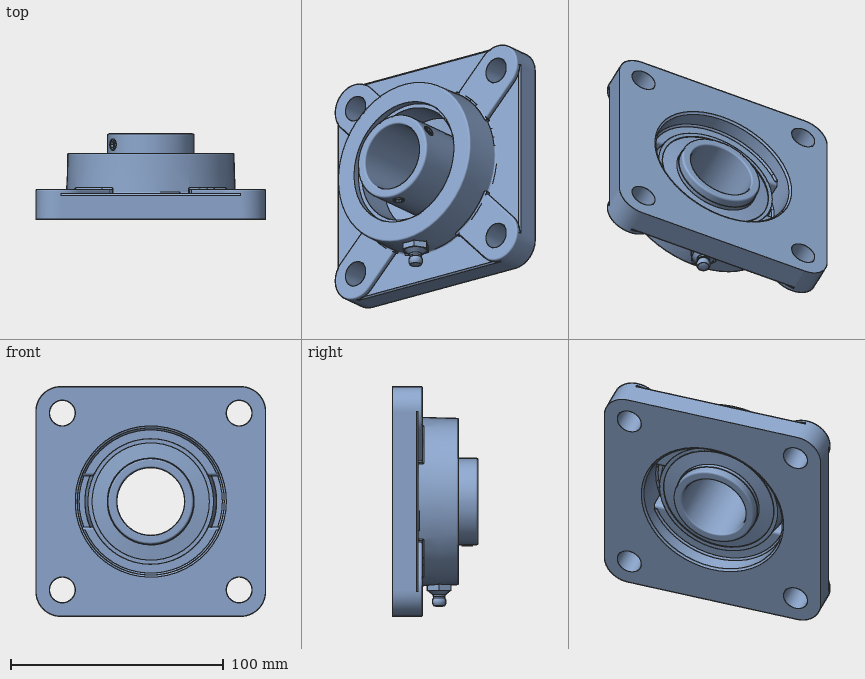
import cadquery as cq
import math


flange_size = 108.0
corner_radius = 11.8
plate_thickness = 12.0
pad_thickness = 14.0
edge_round = 0.8
bolt_spacing = 83.0
bolt_hole_diameter = 12.0

hub_back = 31.0
hub_back_radius = 39.1
hub_base_radius = 39.6
hub_root = 6.5

recess_mouth_round = 1.0
recess_radius = 34.6
recess_floor_radius = 67.3 / 2
recess_corner_round = recess_radius - recess_floor_radius
slot_half_width = 12.0
slot_mouth_round = 1.5

ball_centre = 18.0
seat_sphere_radius = 31.0
outer_ring_width = 19.0
outer_ring_bore_radius = 55.1 / 2
bore_radius = 31.8 / 2
bore_round = 0.8
inner_ring_radius = 40.8 / 2
inner_ring_nose_radius = 40.3 / 2
inner_ring_front = 2.0
inner_ring_back = 40.2
inner_ring_nose_end = 6.2
inner_ring_round = 1.0
seal_lip_front = 8.1
seal_rim_front = 9.1
seal_thickness = 1.1

screw_angles = (150, 270)
screw_y = 35.1
screw_diameter = 5.4
screw_inner_end = 16.4
screw_outer_end = 21.0
screw_chamfer = 0.4
screw_socket_flats = 2.8
screw_socket_depth = 2.2

nipple_y = 21.9
nipple_seat = 37.8
nipple_hex_end = 41.9
nipple_hex_flats = 11.2
nipple_cone_radius = 5.3
nipple_cone_end = 43.7
nipple_cone_end_radius = 6.0 / 2
nipple_neck_radius = 5.4 / 2
nipple_neck_start = 44.6
nipple_neck_end = 45.4
nipple_head_radius = 3.2
nipple_head_widest = 47.0
nipple_head_end = 48.9
nipple_head_end_radius = 2.6
nipple_tip_radius = 2.0 / 2
nipple_tip_end = 49.4

outer_ring_front = ball_centre - outer_ring_width / 2
outer_ring_back = ball_centre + outer_ring_width / 2
outer_ring_face_radius = math.sqrt(seat_sphere_radius**2 - (outer_ring_width / 2) ** 2)
corner_centre = flange_size / 2 - corner_radius


def turned(profile):
    """Turn a closed (radius, y) profile about the Y axis."""
    return profile.close().revolve(360, (0, 0), (0, 1))


def ring_block():
    """Solid barrel with the spherical outside of the outer ring."""
    profile = (
        cq.Workplane("XY")
        .moveTo(0, outer_ring_front)
        .lineTo(outer_ring_face_radius, outer_ring_front)
        .threePointArc((seat_sphere_radius, ball_centre), (outer_ring_face_radius, outer_ring_back))
        .lineTo(0, outer_ring_back)
    )
    return turned(profile)


def plane_at(y):
    """Sketch plane parallel to the mounting face, looking toward +Y, with local y along -Z."""
    return cq.Workplane(cq.Plane((0, y, 0), xDir=(1, 0, 0), normal=(0, 1, 0)))


def make_flange():
    flange = (
        plane_at(0)
        .rect(flange_size, flange_size)
        .extrude(pad_thickness)
        .edges("|Y")
        .fillet(corner_radius)
    )
    half_size = flange_size / 2
    tangent_x = corner_centre + corner_radius * math.cos(math.pi / 4)
    tangent_z = corner_centre - corner_radius * math.sin(math.pi / 4)
    arc_middle_x = corner_centre + corner_radius * math.cos(math.pi / 8)
    arc_middle_z = corner_centre - corner_radius * math.sin(math.pi / 8)
    sunken_side = (
        plane_at(plate_thickness)
        .moveTo(tangent_x - tangent_z, 0)
        .lineTo(tangent_x, tangent_z)
        .threePointArc((arc_middle_x, arc_middle_z), (half_size, corner_centre))
        .lineTo(half_size, -corner_centre)
        .threePointArc((arc_middle_x, -arc_middle_z), (tangent_x, -tangent_z))
        .close()
        .extrude(pad_thickness - plate_thickness)
    )
    side_bevel = (
        cq.Workplane("XY", origin=(half_size, plate_thickness, 0))
        .lineTo(-edge_round, 0)
        .lineTo(0, -edge_round)
        .close()
        .extrude(corner_centre, both=True)
    )
    for angle in (0, 90, 180, 270):
        flange = flange.cut(sunken_side.rotate((0, 0, 0), (0, 1, 0), angle))
    flange = flange.faces(">Y").edges().fillet(edge_round)
    for angle in (0, 90, 180, 270):
        flange = flange.cut(side_bevel.rotate((0, 0, 0), (0, 1, 0), angle))
    return flange


def crossed_bars(half_width, top):
    """Two bars along the flange diagonals, with rounded top edges."""
    bar = (
        plane_at(hub_root)
        .rect(flange_size, 2 * half_width)
        .extrude(top - hub_root)
        .faces(">Y")
        .edges()
        .fillet(edge_round)
    )
    return bar.rotate((0, 0, 0), (0, 1, 0), 45).union(bar.rotate((0, 0, 0), (0, 1, 0), -45))


def foot(floor):
    """Disc around the hub whose top is a concave fillet from the given floor up to the hub."""
    profile = (
        cq.Workplane("XY")
        .moveTo(0, hub_root)
        .lineTo(hub_base_radius + edge_round, hub_root)
        .lineTo(hub_base_radius + edge_round, floor)
        .radiusArc((hub_base_radius, floor + edge_round), edge_round)
        .lineTo(0, floor + edge_round)
    )
    return turned(profile)


def make_hub():
    profile = (
        cq.Workplane("XY")
        .moveTo(0, hub_root)
        .lineTo(hub_base_radius, hub_root)
        .lineTo(hub_base_radius, plate_thickness + edge_round)
        .lineTo(hub_back_radius, hub_back)
        .lineTo(0, hub_back)
    )
    hub = turned(profile).faces(">Y").edges().fillet(edge_round)
    pad_feet = foot(pad_thickness).intersect(
        crossed_bars(corner_radius + edge_round, pad_thickness + edge_round)
    )
    return hub.union(foot(plate_thickness)).union(pad_feet)


def recess_cutter(end):
    """Round front recess with a rounded mouth and a filleted floor corner."""
    profile = (
        cq.Workplane("XY")
        .lineTo(recess_radius + recess_mouth_round, 0)
        .radiusArc((recess_radius, recess_mouth_round), -recess_mouth_round)
        .lineTo(recess_radius, end - recess_corner_round)
        .radiusArc((recess_floor_radius, end), recess_corner_round)
        .lineTo(0, end)
    )
    return turned(profile)


def make_loading_slots():
    """Two opposite slots with rounded mouths, from the recess floor to the middle of the ring seat."""
    mouth_half_width = slot_half_width + slot_mouth_round
    mouth_end = outer_ring_front + slot_mouth_round
    bar = (
        cq.Workplane("YZ")
        .moveTo(outer_ring_front - recess_corner_round, -mouth_half_width)
        .lineTo(outer_ring_front - recess_corner_round, mouth_half_width)
        .lineTo(outer_ring_front, mouth_half_width)
        .radiusArc((mouth_end, slot_half_width), -slot_mouth_round)
        .lineTo(ball_centre, slot_half_width)
        .lineTo(ball_centre, -slot_half_width)
        .lineTo(mouth_end, -slot_half_width)
        .radiusArc((outer_ring_front, -mouth_half_width), -slot_mouth_round)
        .close()
        .extrude(recess_radius, both=True)
    )
    return bar.intersect(recess_cutter(ball_centre))


def make_housing():
    housing = make_flange().union(make_hub())
    recess = recess_cutter(outer_ring_front).union(make_loading_slots())
    back_opening = plane_at(ball_centre).circle(outer_ring_face_radius).extrude(hub_back - ball_centre)
    bolt_holes = (
        plane_at(0)
        .rect(bolt_spacing, bolt_spacing, forConstruction=True)
        .vertices()
        .circle(bolt_hole_diameter / 2)
        .extrude(pad_thickness)
    )
    for cutter in (recess, ring_block(), back_opening, bolt_holes):
        housing = housing.cut(cutter)
    return housing


def make_outer_ring():
    bore = plane_at(outer_ring_front).circle(outer_ring_bore_radius).extrude(outer_ring_width)
    return ring_block().cut(bore)


def make_inner_ring():
    profile = (
        cq.Workplane("XY")
        .moveTo(bore_radius + bore_round, inner_ring_front)
        .lineTo(inner_ring_nose_radius - inner_ring_round, inner_ring_front)
        .radiusArc((inner_ring_nose_radius, inner_ring_front + inner_ring_round), -inner_ring_round)
        .lineTo(inner_ring_nose_radius, inner_ring_nose_end)
        .lineTo(inner_ring_radius, inner_ring_nose_end)
        .lineTo(inner_ring_radius, inner_ring_back - inner_ring_round)
        .radiusArc((inner_ring_radius - inner_ring_round, inner_ring_back), -inner_ring_round)
        .lineTo(bore_radius + bore_round, inner_ring_back)
        .radiusArc((bore_radius, inner_ring_back - bore_round), -bore_round)
        .lineTo(bore_radius, inner_ring_front + bore_round)
        .radiusArc((bore_radius + bore_round, inner_ring_front), -bore_round)
    )
    return turned(profile)


def make_seal():
    """Slightly conical ring that closes the gap between the two bearing rings."""
    profile = (
        cq.Workplane("XY")
        .moveTo(inner_ring_radius, seal_lip_front)
        .lineTo(outer_ring_bore_radius, seal_rim_front)
        .lineTo(outer_ring_bore_radius, seal_rim_front + seal_thickness)
        .lineTo(inner_ring_radius, seal_lip_front + seal_thickness)
    )
    return turned(profile)


def on_screw_axis(part, angle):
    """Turn a part from +X to the given angle toward +Z around the bearing axis."""
    return part.rotate((0, 0, 0), (0, 1, 0), -angle)


def screw_blank():
    return (
        cq.Workplane("YZ", origin=(screw_inner_end, screw_y, 0))
        .circle(screw_diameter / 2)
        .extrude(screw_outer_end - screw_inner_end)
    )


def make_screw():
    socket = (
        cq.Workplane("YZ", origin=(screw_outer_end - screw_socket_depth, screw_y, 0))
        .polygon(6, screw_socket_flats, circumscribed=True)
        .extrude(screw_socket_depth)
    )
    return screw_blank().faces(">X").edges().chamfer(screw_chamfer).cut(socket)


def bulge_radius(rise, run):
    """Radius of an arc that starts parallel to the axis and falls by `rise` over the length `run`."""
    return (rise**2 + run**2) / (2 * rise)


def make_nipple():
    hexagon = (
        cq.Workplane("XY", origin=(0, nipple_y, -nipple_hex_end))
        .polygon(6, nipple_hex_flats, circumscribed=True)
        .extrude(nipple_hex_end - nipple_seat)
        .rotate((0, nipple_y, 0), (0, nipple_y, 1), 30)
    )
    upper_arc = bulge_radius(nipple_head_radius - nipple_neck_radius, nipple_head_widest - nipple_neck_end)
    lower_arc = bulge_radius(nipple_head_radius - nipple_head_end_radius, nipple_head_end - nipple_head_widest)
    head = (
        cq.Workplane("XZ", origin=(0, nipple_y, 0))
        .moveTo(0, -nipple_hex_end)
        .lineTo(nipple_cone_radius, -nipple_hex_end)
        .lineTo(nipple_cone_end_radius, -nipple_cone_end)
        .lineTo(nipple_neck_radius, -nipple_neck_start)
        .lineTo(nipple_neck_radius, -nipple_neck_end)
        .radiusArc((nipple_head_radius, -nipple_head_widest), upper_arc)
        .radiusArc((nipple_head_end_radius, -nipple_head_end), lower_arc)
        .lineTo(nipple_tip_radius, -nipple_tip_end)
        .lineTo(0, -nipple_tip_end)
        .close()
        .revolve(360, (0, 0), (0, 1))
    )
    return hexagon.union(head)


nipple = make_nipple()
screws = [on_screw_axis(make_screw(), angle) for angle in screw_angles]
housing = make_housing().cut(nipple)
outer_ring = make_outer_ring()
inner_ring = make_inner_ring()
for angle in screw_angles:
    inner_ring = inner_ring.cut(on_screw_axis(screw_blank(), angle))
seal = make_seal()

result = cq.Compound.makeCompound(
    [
        housing.val(),
        outer_ring.val(),
        inner_ring.val(),
        seal.val(),
        nipple.val(),
        *[screw.val() for screw in screws],
    ]
)